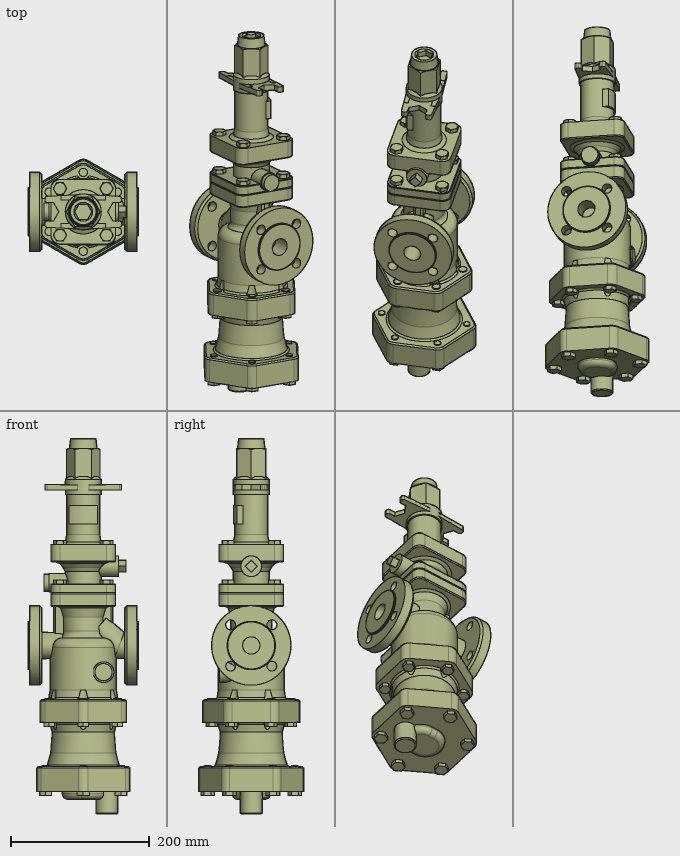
import cadquery as cq
import math

TOTAL_HEIGHT = 542.0

SPINDLE_TIP_DIA = 37.0
SPINDLE_TIP_BASE_DIA = 40.0
TIP_BASE_Z = 528.0
HEX_FLATS = 42.5
HEX_CORNER_CUT = 3.0
HEX_CORNER_DROP = 1.5
SOCKET_FLATS = 21.5
SOCKET_MOUTH_DIA = 27.0
SOCKET_DEPTH = 11.0
COLLAR_DIA = 52.0
COLLAR_TOP_Z = 483.0
COLLAR_BOTTOM_Z = 461.0
COLLAR_BEVEL = 4.5
TUBE_DIA = 48.0
TUBE_FLARE_Z = 403.0
TUBE_FLARE_DIA = 51.5
TUBE_FOOT_DIA = 64.0
TUBE_FOOT_HEIGHT = 4.0

WRENCH_LENGTH = 110.5
WRENCH_TIP_WIDTH = 44.5
WRENCH_WAIST_WIDTH = 50.5
WRENCH_BOTTOM_Z = 468.0
WRENCH_THICKNESS = 8.0
WRENCH_JAW = 26.5
WRENCH_JAW_TIP_X = 35.0
WRENCH_TIP_ROUND = 3.0
EDGE_STEP_LENGTH = 64.0
EDGE_STEP_Y = 17.0
EDGE_STEP_DEPTH = 0.5

PAD_WIDTH = 42.0
PAD_BOTTOM_Z = 419.0
PAD_TOP_Z = 445.5
PAD_EDGE_Y = 20.5
PAD_FRONT_Y = 26.0

SQUARE_SIDE = 94.0
SQUARE_CORNER = 13.0
UPPER_SQUARE_TOP_Z = 389.0
UPPER_SQUARE_BOTTOM_Z = 363.5
LOWER_SQUARE_TOP_Z = 332.0
LOWER_SQUARE_BOTTOM_Z = 299.5
LOWER_GASKET_Z = 318.5
GASKET_THICKNESS = 1.5
GASKET_INSET = 0.5
SQUARE_EDGE_CHAMFER = 1.5
LOWER_SQUARE_TOP_CHAMFER = 1.0
SQUARE_BOLT_OFFSET = 33.5
SQUARE_BOLT_FLATS = 17.0
SQUARE_BOLT_BEVEL = 1.0
BOLT_HEAD_HEIGHT = 6.0

PILOT_DIA = 52.0
PILOT_FLARE_DIA = 68.5
PILOT_FOOT_DIA = 79.0
PILOT_FOOT_HEIGHT = 2.0
PILOT_FLARE_END_Z = 350.0
PILOT_STEP_DIA = 58.5
PILOT_STEP_Z = 356.0
LEFT_PORT_Z = 334.0
LEFT_PORT_DIA = 27.0
LEFT_PORT_END_X = -49.5
LEFT_PLUG_DIA = 25.0
LEFT_PLUG_END_X = -57.0
RIGHT_PORT_Z = 357.5
RIGHT_PORT_DIA = 30.0
RIGHT_PORT_END_X = 51.0
RIGHT_PLUG_CORNERS = 17.5
RIGHT_PLUG_END_X = 62.0

NECK_DIA = 59.5
NECK_FLARE_DIA = 67.0
NECK_FLARE_Z = 284.5
NECK_FOOT_DIA = 76.0
NECK_FOOT_HEIGHT = 2.0
NECK_BOTTOM_Z = 264.0
NECK_ROOT_SAG = 1.0
SHOULDER_TOP_Z = 254.0
SHOULDER_ROUND = 14.0
BODY_DIA = 96.0
BODY_FLARE_Z = 179.5
BODY_FLARE_DIA = 99.5
BODY_FOOT_DIA = 105.0
BODY_FOOT_HEIGHT = 2.5
RIB_REACH = 43.0
RIB_HALF_WIDTH = 6.5
RIB_ROOT_HALF_WIDTH = 11.5
RIB_BEVEL = 2.5
RIB_BOTTOM_Z = 255.0

PORT_Z = 243.5
FACE_TO_FACE = 160.0
FACE_X = FACE_TO_FACE / 2
RAISED_FACE_DIA = 70.0
RAISED_FACE_HEIGHT = 2.5
RAISED_FACE_BEVEL = 1.0
FLANGE_DIA = 115.0
FLANGE_THICKNESS = 17.5
FLANGE_EDGE = 3.0
FLANGE_BACK_X = FACE_X - RAISED_FACE_HEIGHT - FLANGE_THICKNESS
PORT_BORE_DIA = 25.0
PORT_BORE_DEPTH = 32.5
PORT_HOLE_DIA = 14.0
PORT_HOLE_OFFSET = 30.0
PORT_PIPE_DIA = 39.0
PORT_PIPE_ROOT_DIA = 37.0
RISE_PIPE_DIA = 38.0
RISE_PIPE_START_X = 52.0
RISE_PIPE_END = (21.5, 270.0)

DRAIN_X = 29.0
DRAIN_Z = 205.0
DRAIN_BOSS_DIA = 30.0
DRAIN_PLUG_DIA = 25.0
DRAIN_BOSS_Y = -45.5
DRAIN_PLUG_Y = -47.5

HEX_BOLT_COUNT = 6
UPPER_HEX_FLATS = 125.0
UPPER_HEX_CORNER = 14.0
UPPER_HEX_TOP_Z = 165.5
UPPER_HEX_BOTTOM_Z = 132.0
UPPER_HEX_BOLT_RADIUS = 57.0
UPPER_HEX_BOLT_FLATS = 15.0
LOWER_HEX_FLATS = 135.0
LOWER_HEX_CORNER = 13.0
LOWER_HEX_TOP_Z = 68.5
LOWER_HEX_BOTTOM_Z = 32.5
LOWER_HEX_BOLT_RADIUS = 63.0
LOWER_HEX_BOLT_FLATS = 17.5
HEX_EDGE_CHAMFER = 2.0
UPPER_STUD_DIA = 12.0
LOWER_STUD_DIA = 10.0
STUD_HEIGHT = 1.5
BODY_SPOTFACE_DIA = 19.5
TRAP_SPOTFACE_DIA = 21.5

TRAP_TOP_DIA = 96.5
TRAP_RIM_DIA = 102.0
TRAP_RIM_HEIGHT = 2.5
TRAP_WAIST_DIA = 90.0
TRAP_WAIST_Z = 118.0
TRAP_SKIRT_DIA = 94.5
TRAP_SKIRT_Z = 88.5
TRAP_BOTTOM_DIA = 104.0
TRAP_BOTTOM_Z = 70.5
TRAP_FOOT_DIA = 110.0
OUTLET_X = 34.0
OUTLET_DIA = 32.0
OUTLET_CHAMFER = 1.5
SUMP_DIA = 55.5
SUMP_START_X = -2.5
SUMP_END_X = 6.5
SUMP_BOTTOM_Z = 21.0
SUMP_ROUND = 8.5

HEX_ANGLES = [30 + 360 / HEX_BOLT_COUNT * k for k in range(HEX_BOLT_COUNT)]


def across_corners(flats):
    return flats / math.cos(math.radians(30))


def cylinder_z(dia, bottom, top, x=0, y=0):
    return cq.Workplane("XY", origin=(x, y, bottom)).circle(dia / 2).extrude(top - bottom)


def cylinder_x(dia, start, end, z):
    return cq.Workplane("YZ", origin=(start, 0, z)).circle(dia / 2).extrude(end - start)


def hex_prism(flats, bottom, top, x=0, y=0, turn=0):
    """Upright hexagon; corners lie on the X direction when turn is zero."""
    prism = cq.Workplane("XY").polygon(6, across_corners(flats)).extrude(top - bottom)
    return prism.rotate((0, 0, 0), (0, 0, 1), turn).translate((x, y, bottom))


def revolved(profile):
    return profile.close().revolve(360, (0, 0, 0), (0, 1, 0))


def bolt_head(flats, bottom, top, x, y):
    return hex_prism(flats, bottom, top, x, y, turn=30)


def make_spindle():
    corner_radius = across_corners(HEX_FLATS) / 2
    envelope = revolved(
        cq.Workplane("XZ")
        .moveTo(0, COLLAR_BOTTOM_Z)
        .lineTo(corner_radius, COLLAR_BOTTOM_Z)
        .lineTo(corner_radius, TIP_BASE_Z - HEX_CORNER_DROP)
        .lineTo(corner_radius - HEX_CORNER_CUT, TIP_BASE_Z)
        .lineTo(0, TIP_BASE_Z)
    )
    grip = hex_prism(HEX_FLATS, COLLAR_BOTTOM_Z, TIP_BASE_Z).intersect(envelope)
    tip = revolved(
        cq.Workplane("XZ")
        .moveTo(0, TIP_BASE_Z)
        .lineTo(SPINDLE_TIP_BASE_DIA / 2, TIP_BASE_Z)
        .lineTo(SPINDLE_TIP_DIA / 2, TOTAL_HEIGHT)
        .lineTo(0, TOTAL_HEIGHT)
    )
    collar = cylinder_z(COLLAR_DIA, COLLAR_BOTTOM_Z, COLLAR_TOP_Z + COLLAR_BEVEL)
    collar = collar.faces(">Z").chamfer(COLLAR_BEVEL)
    socket = hex_prism(SOCKET_FLATS, TOTAL_HEIGHT - SOCKET_DEPTH, TOTAL_HEIGHT)
    mouth_radius = SOCKET_MOUTH_DIA / 2
    mouth_depth = mouth_radius - SOCKET_FLATS / 2
    mouth = revolved(
        cq.Workplane("XZ")
        .moveTo(0, TOTAL_HEIGHT - mouth_depth)
        .lineTo(SOCKET_FLATS / 2, TOTAL_HEIGHT - mouth_depth)
        .lineTo(mouth_radius, TOTAL_HEIGHT)
        .lineTo(0, TOTAL_HEIGHT)
    )
    return grip.union(tip).union(collar).cut(socket).cut(mouth)


def make_wrench():
    half_length = WRENCH_LENGTH / 2
    step_floor_z = WRENCH_BOTTOM_Z + WRENCH_THICKNESS - EDGE_STEP_DEPTH
    jaw_shoulder_x = WRENCH_JAW_TIP_X + WRENCH_JAW / 2 * math.tan(math.radians(30))
    plate = (
        cq.Workplane("XY", origin=(0, 0, WRENCH_BOTTOM_Z))
        .moveTo(-half_length, -WRENCH_TIP_WIDTH / 2)
        .lineTo(0, -WRENCH_WAIST_WIDTH / 2)
        .lineTo(half_length, -WRENCH_TIP_WIDTH / 2)
        .lineTo(half_length, WRENCH_TIP_WIDTH / 2)
        .lineTo(0, WRENCH_WAIST_WIDTH / 2)
        .lineTo(-half_length, WRENCH_TIP_WIDTH / 2)
        .close()
        .extrude(WRENCH_THICKNESS)
    )
    for side in (-1, 1):
        jaw = (
            cq.Workplane("XY", origin=(0, 0, WRENCH_BOTTOM_Z))
            .moveTo(side * half_length, WRENCH_JAW / 2)
            .lineTo(side * jaw_shoulder_x, WRENCH_JAW / 2)
            .lineTo(side * WRENCH_JAW_TIP_X, 0)
            .lineTo(side * jaw_shoulder_x, -WRENCH_JAW / 2)
            .lineTo(side * half_length, -WRENCH_JAW / 2)
            .close()
            .extrude(WRENCH_THICKNESS)
        )
        edge_step = (
            cq.Workplane("XY", origin=(0, 0, step_floor_z))
            .center(0, side * (EDGE_STEP_Y + WRENCH_WAIST_WIDTH / 2))
            .rect(EDGE_STEP_LENGTH, WRENCH_WAIST_WIDTH)
            .extrude(EDGE_STEP_DEPTH)
        )
        plate = plate.cut(jaw).cut(edge_step)
    return plate.edges("|Z and (<X or >X)").fillet(WRENCH_TIP_ROUND)


def make_tube():
    tube_radius = TUBE_DIA / 2
    tube = revolved(
        cq.Workplane("XZ")
        .moveTo(0, UPPER_SQUARE_TOP_Z)
        .lineTo(TUBE_FOOT_DIA / 2, UPPER_SQUARE_TOP_Z)
        .lineTo(TUBE_FLARE_DIA / 2, UPPER_SQUARE_TOP_Z + TUBE_FOOT_HEIGHT)
        .lineTo(tube_radius, TUBE_FLARE_Z)
        .lineTo(tube_radius, COLLAR_BOTTOM_Z)
        .lineTo(0, COLLAR_BOTTOM_Z)
    )
    pad = (
        cq.Workplane("XY", origin=(0, 0, PAD_BOTTOM_Z))
        .moveTo(-PAD_WIDTH / 2, 0)
        .lineTo(-PAD_WIDTH / 2, -PAD_EDGE_Y)
        .threePointArc((0, -PAD_FRONT_Y), (PAD_WIDTH / 2, -PAD_EDGE_Y))
        .lineTo(PAD_WIDTH / 2, 0)
        .close()
        .extrude(PAD_TOP_Z - PAD_BOTTOM_Z)
    )
    return tube.union(pad)


def make_square_bolt(bottom, x, y):
    """Hexagon head whose upper corners are turned to a cone."""
    top = bottom + BOLT_HEAD_HEIGHT
    head = hex_prism(SQUARE_BOLT_FLATS, bottom, top, x, y)
    turned = cylinder_z(across_corners(SQUARE_BOLT_FLATS), bottom, top, x, y)
    return head.intersect(turned.faces(">Z").chamfer(SQUARE_BOLT_BEVEL))


def make_square_joint(bottom, top, top_chamfer=0):
    block = cq.Workplane("XY", origin=(0, 0, bottom)).rect(SQUARE_SIDE, SQUARE_SIDE).extrude(top - bottom)
    block = block.edges("|Z").fillet(SQUARE_CORNER)
    block = block.faces("<Z").edges().chamfer(SQUARE_EDGE_CHAMFER)
    if top_chamfer:
        block = block.faces(">Z").edges().chamfer(top_chamfer)
    for x in (-SQUARE_BOLT_OFFSET, SQUARE_BOLT_OFFSET):
        for y in (-SQUARE_BOLT_OFFSET, SQUARE_BOLT_OFFSET):
            block = block.union(make_square_bolt(top, x, y))
    return block


def make_lower_square_joint():
    joint = make_square_joint(LOWER_SQUARE_BOTTOM_Z, LOWER_SQUARE_TOP_Z, LOWER_SQUARE_TOP_CHAMFER)
    gasket_plane = cq.Workplane("XY", origin=(0, 0, LOWER_GASKET_Z - GASKET_THICKNESS / 2))
    outside = gasket_plane.rect(2 * SQUARE_SIDE, 2 * SQUARE_SIDE).extrude(GASKET_THICKNESS)
    gasket_side = SQUARE_SIDE - 2 * GASKET_INSET
    gasket = gasket_plane.rect(gasket_side, gasket_side).extrude(GASKET_THICKNESS)
    gasket = gasket.edges("|Z").fillet(SQUARE_CORNER - GASKET_INSET)
    return joint.cut(outside.cut(gasket))


def make_pilot_body():
    radius = PILOT_DIA / 2
    body = revolved(
        cq.Workplane("XZ")
        .moveTo(0, LOWER_SQUARE_TOP_Z)
        .lineTo(radius, LOWER_SQUARE_TOP_Z)
        .lineTo(radius, PILOT_FLARE_END_Z)
        .lineTo(PILOT_STEP_DIA / 2, PILOT_STEP_Z)
        .lineTo(PILOT_FLARE_DIA / 2, UPPER_SQUARE_BOTTOM_Z - PILOT_FOOT_HEIGHT)
        .lineTo(PILOT_FOOT_DIA / 2, UPPER_SQUARE_BOTTOM_Z)
        .lineTo(0, UPPER_SQUARE_BOTTOM_Z)
    )
    left_port = cylinder_x(LEFT_PORT_DIA, LEFT_PORT_END_X, 0, LEFT_PORT_Z)
    left_plug = cylinder_x(LEFT_PLUG_DIA, LEFT_PLUG_END_X, LEFT_PORT_END_X, LEFT_PORT_Z)
    right_port = cylinder_x(RIGHT_PORT_DIA, 0, RIGHT_PORT_END_X, RIGHT_PORT_Z)
    right_plug = (
        cq.Workplane("YZ", origin=(RIGHT_PORT_END_X, 0, RIGHT_PORT_Z))
        .polygon(4, RIGHT_PLUG_CORNERS)
        .extrude(RIGHT_PLUG_END_X - RIGHT_PORT_END_X)
    )
    return body.union(left_port).union(left_plug).union(right_port).union(right_plug)


def make_main_body():
    neck = NECK_DIA / 2
    barrel = BODY_DIA / 2
    shoulder_start = barrel - SHOULDER_ROUND
    diagonal = SHOULDER_ROUND * math.sqrt(0.5)
    barrel_top_z = SHOULDER_TOP_Z - SHOULDER_ROUND
    shoulder_middle = (shoulder_start + diagonal, barrel_top_z + diagonal)
    root_middle = (
        (neck + shoulder_start) / 2 - NECK_ROOT_SAG,
        (NECK_BOTTOM_Z + SHOULDER_TOP_Z) / 2 - NECK_ROOT_SAG,
    )
    return revolved(
        cq.Workplane("XZ")
        .moveTo(0, UPPER_HEX_TOP_Z)
        .lineTo(BODY_FOOT_DIA / 2, UPPER_HEX_TOP_Z)
        .lineTo(BODY_FLARE_DIA / 2, UPPER_HEX_TOP_Z + BODY_FOOT_HEIGHT)
        .lineTo(barrel, BODY_FLARE_Z)
        .lineTo(barrel, barrel_top_z)
        .threePointArc(shoulder_middle, (shoulder_start, SHOULDER_TOP_Z))
        .threePointArc(root_middle, (neck, NECK_BOTTOM_Z))
        .lineTo(neck, NECK_FLARE_Z)
        .lineTo(NECK_FLARE_DIA / 2, LOWER_SQUARE_BOTTOM_Z - NECK_FOOT_HEIGHT)
        .lineTo(NECK_FOOT_DIA / 2, LOWER_SQUARE_BOTTOM_Z)
        .lineTo(0, LOWER_SQUARE_BOTTOM_Z)
    )


def make_neck_ribs():
    rib = (
        cq.Workplane("XY", origin=(0, 0, RIB_BOTTOM_Z))
        .moveTo(-RIB_REACH, -RIB_HALF_WIDTH)
        .lineTo(0, -RIB_ROOT_HALF_WIDTH)
        .lineTo(RIB_REACH, -RIB_HALF_WIDTH)
        .lineTo(RIB_REACH, RIB_HALF_WIDTH)
        .lineTo(0, RIB_ROOT_HALF_WIDTH)
        .lineTo(-RIB_REACH, RIB_HALF_WIDTH)
        .close()
        .extrude(LOWER_SQUARE_BOTTOM_Z - RIB_BOTTOM_Z)
    )
    return rib.edges("|Z and (<X or >X)").chamfer(RIB_BEVEL)


def make_pipe_flange():
    """Flange on the +X side, with its raised face outward."""
    outer_x = FACE_X - RAISED_FACE_HEIGHT
    disc = cylinder_x(FLANGE_DIA, FLANGE_BACK_X, outer_x, PORT_Z).faces("<X").edges().chamfer(FLANGE_EDGE)
    face = cylinder_x(RAISED_FACE_DIA, outer_x, FACE_X, PORT_Z)
    face = face.faces(">X").chamfer(RAISED_FACE_BEVEL)
    holes = (
        cq.Workplane("YZ", origin=(FLANGE_BACK_X, 0, PORT_Z))
        .rect(2 * PORT_HOLE_OFFSET, 2 * PORT_HOLE_OFFSET, forConstruction=True)
        .vertices()
        .circle(PORT_HOLE_DIA / 2)
        .extrude(FLANGE_THICKNESS)
    )
    return disc.cut(holes).union(face)


def make_inlet_pipe():
    return (
        cq.Workplane("YZ", origin=(-FLANGE_BACK_X, 0, PORT_Z))
        .circle(PORT_PIPE_DIA / 2)
        .workplane(offset=FLANGE_BACK_X - NECK_DIA / 2)
        .circle(PORT_PIPE_ROOT_DIA / 2)
        .loft()
    )


def make_outlet_pipe():
    """Short level pipe that turns up and inward to the neck."""
    path = (
        cq.Workplane("XZ")
        .moveTo(FLANGE_BACK_X, PORT_Z)
        .lineTo(RISE_PIPE_START_X, PORT_Z)
        .lineTo(*RISE_PIPE_END)
    )
    profile = cq.Workplane("YZ", origin=(FLANGE_BACK_X, 0, PORT_Z)).circle(RISE_PIPE_DIA / 2)
    return profile.sweep(path, transition="right")


def make_port_bores():
    left = cylinder_x(PORT_BORE_DIA, -FACE_X, -FACE_X + PORT_BORE_DEPTH, PORT_Z)
    return left.union(left.mirror("YZ"))


def make_drain_plug():
    base = cq.Workplane("XZ", origin=(DRAIN_X, 0, DRAIN_Z))
    boss = base.circle(DRAIN_BOSS_DIA / 2).extrude(-DRAIN_BOSS_Y)
    plug = base.circle(DRAIN_PLUG_DIA / 2).extrude(-DRAIN_PLUG_Y)
    return boss.union(plug)


def hex_bolt_places(radius):
    return [
        (radius * math.cos(math.radians(a)), radius * math.sin(math.radians(a)))
        for a in HEX_ANGLES
    ]


def make_hex_joint(flats, corner, bottom, top, bolt_radius, bolt_flats, stud_dia):
    joint = hex_prism(flats, bottom, top, turn=30).edges("|Z").fillet(corner)
    joint = joint.faces(">Z").edges().chamfer(HEX_EDGE_CHAMFER)
    for x, y in hex_bolt_places(bolt_radius):
        joint = joint.union(bolt_head(bolt_flats, bottom - BOLT_HEAD_HEIGHT, bottom, x, y))
        joint = joint.union(cylinder_z(stud_dia, top, top + STUD_HEIGHT, x, y))
    return joint


def make_spotfaces(dia, bottom, top):
    """Relief cuts that clear the studs and bolt heads of the upper hexagonal joint."""
    places = hex_bolt_places(UPPER_HEX_BOLT_RADIUS)
    return cq.Workplane("XY", origin=(0, 0, bottom)).pushPoints(places).circle(dia / 2).extrude(top - bottom)


def make_trap_body():
    return revolved(
        cq.Workplane("XZ")
        .moveTo(0, LOWER_HEX_TOP_Z)
        .lineTo(TRAP_FOOT_DIA / 2, LOWER_HEX_TOP_Z)
        .lineTo(TRAP_BOTTOM_DIA / 2, TRAP_BOTTOM_Z)
        .lineTo(TRAP_SKIRT_DIA / 2, TRAP_SKIRT_Z)
        .lineTo(TRAP_WAIST_DIA / 2, TRAP_WAIST_Z)
        .lineTo(TRAP_TOP_DIA / 2, UPPER_HEX_BOTTOM_Z - TRAP_RIM_HEIGHT)
        .lineTo(TRAP_RIM_DIA / 2, UPPER_HEX_BOTTOM_Z)
        .lineTo(0, UPPER_HEX_BOTTOM_Z)
    )


def make_outlet():
    sump = (
        cq.Workplane("XY", origin=((SUMP_START_X + SUMP_END_X) / 2, 0, SUMP_BOTTOM_Z))
        .slot2D(SUMP_END_X - SUMP_START_X + SUMP_DIA, SUMP_DIA)
        .extrude(LOWER_HEX_BOTTOM_Z - SUMP_BOTTOM_Z)
        .faces("<Z")
        .edges()
        .fillet(SUMP_ROUND)
    )
    pipe = cylinder_z(OUTLET_DIA, 0, LOWER_HEX_BOTTOM_Z, x=OUTLET_X)
    pipe = pipe.faces("<Z").edges().chamfer(OUTLET_CHAMFER)
    return sump.union(pipe)


main_body = make_main_body().cut(make_spotfaces(BODY_SPOTFACE_DIA, UPPER_HEX_TOP_Z, BODY_FLARE_Z))
trap_body = make_trap_body().cut(make_spotfaces(TRAP_SPOTFACE_DIA, TRAP_WAIST_Z, UPPER_HEX_BOTTOM_Z))
right_flange = make_pipe_flange()

parts = [
    trap_body,
    make_hex_joint(LOWER_HEX_FLATS, LOWER_HEX_CORNER, LOWER_HEX_BOTTOM_Z, LOWER_HEX_TOP_Z,
                   LOWER_HEX_BOLT_RADIUS, LOWER_HEX_BOLT_FLATS, LOWER_STUD_DIA),
    make_outlet(),
    make_neck_ribs(),
    make_inlet_pipe(),
    make_outlet_pipe(),
    right_flange,
    right_flange.mirror("YZ"),
    make_drain_plug(),
    make_hex_joint(UPPER_HEX_FLATS, UPPER_HEX_CORNER, UPPER_HEX_BOTTOM_Z, UPPER_HEX_TOP_Z,
                   UPPER_HEX_BOLT_RADIUS, UPPER_HEX_BOLT_FLATS, UPPER_STUD_DIA),
    make_lower_square_joint(),
    make_pilot_body(),
    make_square_joint(UPPER_SQUARE_BOTTOM_Z, UPPER_SQUARE_TOP_Z),
    make_tube(),
    make_spindle(),
    make_wrench(),
]

result = main_body
for part in parts:
    result = result.union(part)
result = result.cut(make_port_bores())